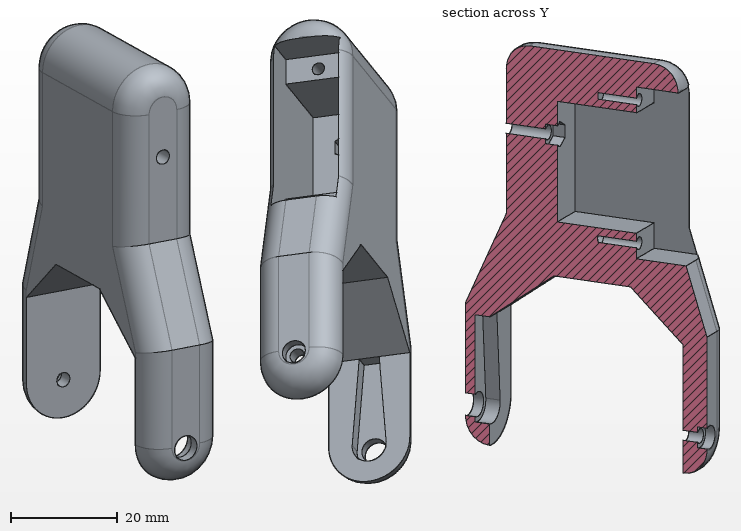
import cadquery as cq
import math

thickness = 16.0
height = 79.5
leg_span = 50.5
end_radius = thickness / 2
edge_radius = 5.0

body_left = -19.2
body_right = 16.75
leg_outer = leg_span / 2
shoulder_z = 45.9
knee_z = 27.4

leg_thickness = 5.1
leg_inner = leg_outer - leg_thickness
crotch_z = 35.0
crotch_corner_z = 25.2
crotch_width = 16.0
crotch_center = (body_left + body_right) / 2

pocket_width = 12.8
pocket_center_z = 57.5
flange_length = 33.5
flange_floor = -10.5
case_length = 23.5
case_floor = 6.0
screw_diameter = 2.4
screw_spacing = 28.0
screw_depth = 8.0
drill_tip_length = 0.7

bolt_diameter = 2.8
bolt_z = 62.6
nut_across_flats = 4.25
nut_depth = 2.5

pivot_z = 7.5
pivot_diameter = 2.8
pivot_head_diameter = 4.5
pivot_head_depth = 2.0
horn_depth = 3.0
horn_hub_width = 6.7
horn_taper = math.radians(4.5)
horn_length = crotch_corner_z - pivot_z
horn_shaft_diameter = 4.8


def make_shell():
    """Filled outer shape with round top and bottom and filleted left and right sides."""
    outline = [
        (-leg_outer, 0),
        (leg_outer, 0),
        (leg_outer, knee_z),
        (body_right, shoulder_z),
        (body_right, height),
        (body_left, height),
        (body_left, shoulder_z),
        (-leg_outer, knee_z),
    ]
    plate = cq.Workplane("XZ").polyline(outline).close().extrude(end_radius, both=True)
    stadium = (
        cq.Workplane("YZ")
        .center(0, height / 2)
        .slot2D(height, thickness, 90)
        .extrude(leg_span, both=True)
    )
    shell = plate.intersect(stadium)
    return shell.edges("not (|X or |Y)").fillet(edge_radius)


def make_leg_opening():
    """Space between the legs, narrowing upward to a flat crotch."""
    outline = [
        (-leg_inner, 0),
        (leg_inner, 0),
        (leg_inner, crotch_corner_z),
        (crotch_center + crotch_width / 2, crotch_z),
        (crotch_center - crotch_width / 2, crotch_z),
        (-leg_inner, crotch_corner_z),
    ]
    return cq.Workplane("XZ").polyline(outline).close().extrude(thickness, both=True)


def pocket_box(length, floor_x):
    """Pocket of the given Z length, entering from the left down to floor_x."""
    return (
        cq.Workplane("YZ", origin=(-leg_outer, 0, pocket_center_z))
        .rect(pocket_width, length)
        .extrude(floor_x + leg_outer)
    )


def cylinder_along_x(diameter, z, start_x, end_x):
    """Round cutter centred on Y = 0 at height z."""
    return (
        cq.Workplane("YZ", origin=(start_x, 0, z)).circle(diameter / 2).extrude(end_x - start_x)
    )


def cut_servo_pocket(part):
    """Shallow flange seat, deeper case pocket and two blind screw holes in the seat."""
    part = part.cut(pocket_box(flange_length, flange_floor))
    part = part.cut(pocket_box(case_length, case_floor))
    hole_end = flange_floor + screw_depth
    lower_screw_z = pocket_center_z - screw_spacing / 2
    for screw_z in (lower_screw_z, lower_screw_z + screw_spacing):
        part = part.cut(cylinder_along_x(screw_diameter, screw_z, flange_floor, hole_end))
    tip_base = cq.Vector(hole_end, 0, lower_screw_z)
    drill_tip = cq.Solid.makeCone(screw_diameter / 2, 0, drill_tip_length, tip_base, cq.Vector(1, 0, 0))
    return part.cut(cq.Workplane(obj=drill_tip))


def cut_bolt_and_nut(part):
    """Hole through the right wall with a hexagonal nut seat in the pocket floor."""
    part = part.cut(cylinder_along_x(bolt_diameter, bolt_z, case_floor, body_right))
    nut_across_corners = nut_across_flats / math.cos(math.pi / 6)
    nut = (
        cq.Workplane("YZ", origin=(case_floor, 0, bolt_z))
        .transformed(rotate=(0, 0, 90))
        .polygon(6, nut_across_corners)
        .extrude(nut_depth)
    )
    return part.cut(nut)


def cut_leg_pivots(part):
    """Counterbored pivot in the left leg, servo horn recess and shaft hole in the right leg."""
    head_floor = -leg_outer + pivot_head_depth
    part = part.cut(cylinder_along_x(pivot_diameter, pivot_z, -leg_outer, -leg_inner))
    part = part.cut(cylinder_along_x(pivot_head_diameter, pivot_z, -leg_outer, head_floor))
    part = part.cut(cylinder_along_x(horn_shaft_diameter, pivot_z, leg_inner, leg_outer))
    hub_radius = horn_hub_width / 2
    tangent_y = hub_radius * math.cos(horn_taper)
    tangent_z = hub_radius * math.sin(horn_taper)
    tip_y = (hub_radius - horn_length * math.sin(horn_taper)) / math.cos(horn_taper)
    horn = (
        cq.Workplane("YZ", origin=(leg_inner, 0, pivot_z))
        .moveTo(-tangent_y, tangent_z)
        .threePointArc((0, -hub_radius), (tangent_y, tangent_z))
        .lineTo(tip_y, horn_length)
        .lineTo(-tip_y, horn_length)
        .close()
        .extrude(horn_depth)
    )
    return part.cut(horn)


result = make_shell().cut(make_leg_opening())
result = cut_servo_pocket(result)
result = cut_bolt_and_nut(result)
result = cut_leg_pivots(result)